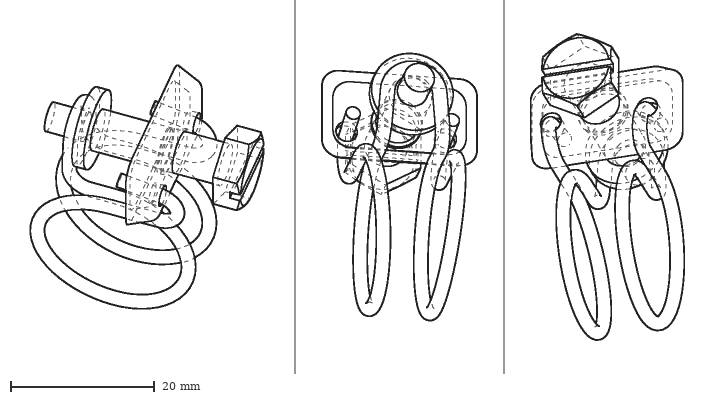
import cadquery as cq
import math


WIRE_DIA = 2.0
RING_RADIUS = 10.98
RING_CENTER_Z = -18.85
INNER_Y = 4.3
OUTER_Y = 6.35
STRAIGHT_END_X = 7.05
CURL_RADIUS = 3.1
TIP_SLOPE = math.radians(9.5)
TIP_X = 1.65
HOOK_BEND_RADIUS = 3.05
SADDLE_RADIUS = 3.7

TIP_DIA = 4.25
SHAFT_DIA = 6.0
COLLAR_DIA = 11.55
SCREW_START_X = -11.13
COLLAR_START_X = -5.75
COLLAR_LENGTH = 1.7
HEAD_START_X = 14.83
HEAD_END_X = 18.85
HEAD_ACROSS_FLATS = 10.0
HEAD_FACE_DIA = 9.65
HEAD_CHAMFER_LENGTH = 0.52
SLOT_WIDTH = 1.25
SLOT_DEPTH = 1.55

PLATE_START_X = 4.1
PLATE_THICKNESS = 4.0
PLATE_WIDTH = 22.0
PLATE_HEIGHT = 13.0
SMALL_FACE_WIDTH = 20.02
SMALL_FACE_HEIGHT = 10.0
CORNER_RADIUS = 2.45
OUTER_EDGE_RADIUS = 1.2
RIM = 1.57
POCKET_DEPTH = 2.45
POCKET_FLOOR_RADIUS = 0.5
BOSS_DIA = 7.17
BOSS_HEIGHT = 0.6
WIRE_HOLE_DIA = 3.0
WIRE_HOLE_Y = 7.02
WIRE_HOLE_Z = -1.57

RING_TOP_Z = RING_CENTER_Z + RING_RADIUS
RING_BOTTOM_Z = RING_CENTER_Z - RING_RADIUS
LEAN = math.atan2(OUTER_Y - INNER_Y, RING_TOP_Z - RING_BOTTOM_Z)

HOOK_X = COLLAR_START_X - WIRE_DIA / 2
SADDLE_Z = TIP_DIA / 2 + WIRE_DIA / 2 - SADDLE_RADIUS
SADDLE_RISE = SADDLE_Z - RING_TOP_Z
SADDLE_DISTANCE = math.hypot(INNER_Y, SADDLE_RISE)
LEG_LEAN = math.acos(SADDLE_RADIUS / SADDLE_DISTANCE) - math.atan2(SADDLE_RISE, INNER_Y)
LEG_LENGTH = math.sqrt(SADDLE_DISTANCE**2 - SADDLE_RADIUS**2)


def cylinder_x(diameter, start_x, end_x):
    return cq.Workplane("YZ", origin=(start_x, 0, 0)).circle(diameter / 2).extrude(end_x - start_x)


def make_screw():
    collar_end_x = COLLAR_START_X + COLLAR_LENGTH
    screw = cylinder_x(TIP_DIA, SCREW_START_X, COLLAR_START_X)
    screw = screw.union(cylinder_x(COLLAR_DIA, COLLAR_START_X, collar_end_x))
    screw = screw.union(cylinder_x(SHAFT_DIA, collar_end_x, HEAD_START_X))
    return screw.union(make_head())


def make_head():
    """Slotted hexagon head with two corners on the Z axis and its corners chamfered."""
    length = HEAD_END_X - HEAD_START_X
    corner_radius = HEAD_ACROSS_FLATS / math.sqrt(3)
    hexagon = (
        cq.Workplane("YZ", origin=(HEAD_START_X, 0, 0))
        .polygon(6, 2 * corner_radius)
        .extrude(length)
        .rotate((0, 0, 0), (1, 0, 0), 90)
    )
    chamfer_envelope = (
        cq.Workplane("XY")
        .moveTo(HEAD_START_X, 0)
        .lineTo(HEAD_START_X, corner_radius)
        .lineTo(HEAD_END_X - HEAD_CHAMFER_LENGTH, corner_radius)
        .lineTo(HEAD_END_X, HEAD_FACE_DIA / 2)
        .lineTo(HEAD_END_X, 0)
        .close()
        .revolve(360, (0, 0, 0), (1, 0, 0))
    )
    slot = cq.Workplane("XY").box(2 * SLOT_DEPTH, 2 * corner_radius, SLOT_WIDTH)
    return hexagon.intersect(chamfer_envelope).cut(slot.translate((HEAD_END_X, 0, 0)))


def tapered_block(start_x, depth, width, height, width_taper, height_taper):
    """Round-cornered block that narrows along +X; each taper is the loss of size per unit of depth."""
    section = cq.Sketch().rect(width, height).vertices().fillet(CORNER_RADIUS)
    end_section = (
        cq.Sketch()
        .rect(width - width_taper * depth, height - height_taper * depth)
        .vertices()
        .fillet(CORNER_RADIUS)
    )
    return (
        cq.Workplane("YZ", origin=(start_x, 0, 0))
        .placeSketch(section, end_section.moved(cq.Location(cq.Vector(0, 0, depth))))
        .loft(ruled=True)
    )


def make_plate():
    width_taper = (PLATE_WIDTH - SMALL_FACE_WIDTH) / PLATE_THICKNESS
    height_taper = (PLATE_HEIGHT - SMALL_FACE_HEIGHT) / PLATE_THICKNESS
    end_x = PLATE_START_X + PLATE_THICKNESS
    floor_x = PLATE_START_X + POCKET_DEPTH

    body = tapered_block(
        PLATE_START_X, PLATE_THICKNESS, PLATE_WIDTH, PLATE_HEIGHT, width_taper, height_taper
    )
    body = body.faces(">X").edges().fillet(OUTER_EDGE_RADIUS)

    pocket = tapered_block(
        PLATE_START_X,
        POCKET_DEPTH,
        PLATE_WIDTH - 2 * RIM,
        PLATE_HEIGHT - 2 * RIM,
        width_taper,
        height_taper,
    )
    pocket = pocket.faces(">X").edges().fillet(POCKET_FLOOR_RADIUS)

    plate = body.cut(pocket).union(cylinder_x(BOSS_DIA, floor_x - BOSS_HEIGHT, end_x))
    plate = plate.cut(cylinder_x(SHAFT_DIA, PLATE_START_X, end_x))
    for side in (1, -1):
        hole = cylinder_x(WIRE_HOLE_DIA, PLATE_START_X, end_x)
        plate = plate.cut(hole.translate((0, side * WIRE_HOLE_Y, WIRE_HOLE_Z)))
    return plate


def half_wire_edges(side):
    """Centreline edges of one half, from its free tip to the foot of the saddle arch."""
    def line(start, end):
        return cq.Edge.makeLine(start, end)

    def arc(start, middle, end):
        return cq.Edge.makeThreePointArc(start, middle, end)

    def point(x, y, z):
        return cq.Vector(x, side * y, z)

    def lean_point(x, height):
        """Point in the plane that leans outward from the ring's bottom; height runs along the lean."""
        return point(x, INNER_Y + height * math.sin(LEAN), RING_BOTTOM_Z + height * math.cos(LEAN))

    def leg_point(x, height):
        """Point in the plane that leans inward from the ring's top; height runs along the lean."""
        return point(x, INNER_Y - height * math.sin(LEG_LEAN), RING_TOP_Z + height * math.cos(LEG_LEAN))

    lean_radius = RING_RADIUS / math.cos(LEAN)
    straight_height = 2 * lean_radius
    curl_height = straight_height + CURL_RADIUS
    curl_end_x = STRAIGHT_END_X + CURL_RADIUS * math.sin(TIP_SLOPE)
    curl_end_height = curl_height + CURL_RADIUS * math.cos(TIP_SLOPE)
    tip = lean_point(TIP_X, curl_end_height + (curl_end_x - TIP_X) * math.tan(TIP_SLOPE))
    curl_end = lean_point(curl_end_x, curl_end_height)
    curl_side = lean_point(STRAIGHT_END_X + CURL_RADIUS, curl_height)
    straight_end = lean_point(STRAIGHT_END_X, straight_height)

    ring_start = lean_point(0, straight_height)
    ring_left = lean_point(-lean_radius, lean_radius)
    ring_bottom = lean_point(0, 0)
    ring_right = point(RING_RADIUS, INNER_Y, RING_CENTER_Z)
    ring_end = point(0, INNER_Y, RING_TOP_Z)

    bend_start = leg_point(HOOK_X + HOOK_BEND_RADIUS, 0)
    bend_inset = HOOK_BEND_RADIUS * (1 - math.cos(math.radians(45)))
    bend_middle = leg_point(HOOK_X + bend_inset, bend_inset)
    bend_end = leg_point(HOOK_X, HOOK_BEND_RADIUS)
    leg_top = leg_point(HOOK_X, LEG_LENGTH)

    return [
        line(tip, curl_end),
        arc(curl_end, curl_side, straight_end),
        line(straight_end, ring_start),
        arc(ring_start, ring_left, ring_bottom),
        arc(ring_bottom, ring_right, ring_end),
        line(ring_end, bend_start),
        arc(bend_start, bend_middle, bend_end),
        line(bend_end, leg_top),
    ]


def make_wire():
    left = half_wire_edges(1)
    right = half_wire_edges(-1)
    saddle = cq.Edge.makeThreePointArc(
        left[-1].endPoint(), cq.Vector(HOOK_X, 0, SADDLE_Z + SADDLE_RADIUS), right[-1].endPoint()
    )
    path = cq.Wire.assembleEdges(left + [saddle] + right[::-1])
    section = cq.Workplane(cq.Plane(left[0].startPoint(), normal=left[0].tangentAt(0)))
    return section.circle(WIRE_DIA / 2).sweep(path)


screw = make_screw()
plate = make_plate()
wire = make_wire()

result = cq.Compound.makeCompound([screw.solids().val(), plate.solids().val(), wire.val()])